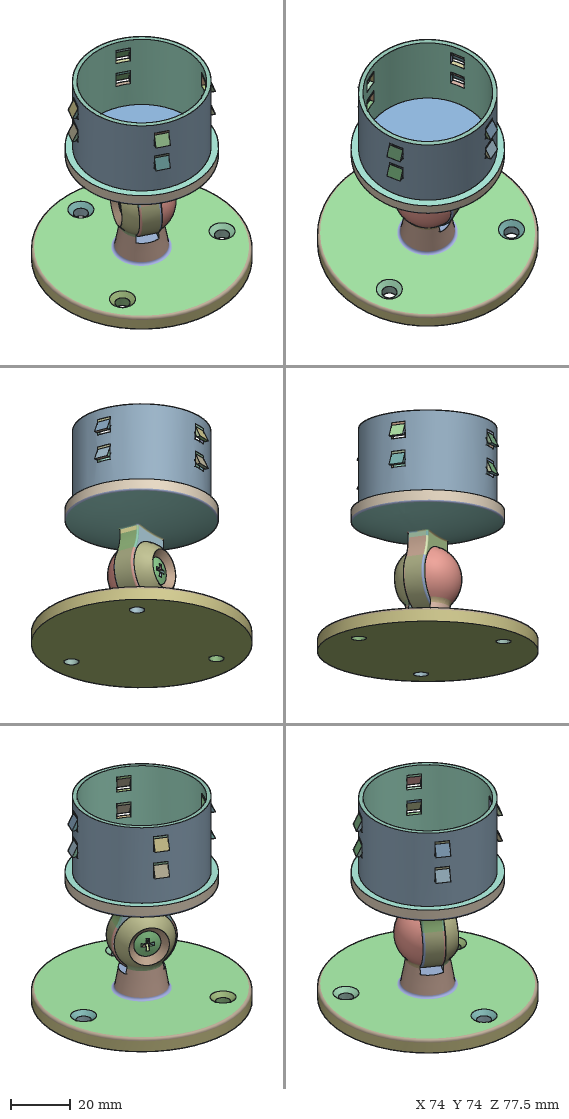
import cadquery as cq
import math

base_thickness = 4.95
pivot_z = 24.95
stem_top_z = 14.95
slot_floor_z = 13.0
dome_bottom_z = 39.3
flange_bottom_z = 44.95
flange_top_z = 49.0
cup_top_z = 77.5

base_diameter = 74.0
base_edge_radius = 1.0
mount_count = 3
mount_circle_radius = 28.05
mount_hole_diameter = 5.0
mount_sink_diameter = 8.7
mount_sink_angle = 100.0
mount_first_angle = 90.0

stem_top_radius = 7.5
stem_taper = 10.0
stem_foot_fillet = 1.0
stem_neck_fillet = 2.0
ball_radius = 11.5
seat_rim_y = -9.1
slot_width = 8.0

cup_outer_radius = 23.25
cup_inner_radius = 21.7
flange_radius = 25.7
flange_edge_fillet = 0.7

lug_radius = 11.5
lug_thickness = 7.6
lug_neck_half_width = 7.9
lug_side_radius = 13.95
lug_edge_fillet = 0.6
lug_root_fillet = 0.5
lug_embed = 2.3

tab_directions = 4
tab_width = 5.0
window_tops = (73.9, 63.9)
window_height = 5.6
hinge_height = 0.85
hinge_outer_x = 23.1
hinge_thickness = 1.4
tab_tip_x = 25.0
tab_end_gap = 0.6

screw_head_radius = 4.7
screw_head_dome = 0.9
shank_radius = 2.0
shank_end_y = 7.0
recess_half_length = 2.55
recess_arm_width = 1.2
recess_depth = 2.6

pick_margin = 0.1

seat_rim_radius = math.sqrt(ball_radius**2 - seat_rim_y**2)
head_rim_y = seat_rim_y + seat_rim_radius - screw_head_radius
head_bottom_y = head_rim_y + screw_head_radius - shank_radius


def cap_radius(rim_radius, depth):
    """Sphere radius of a cap with the given rim radius and depth."""
    return (rim_radius**2 + depth**2) / (2 * depth)


def cap_midpoint(rim_radius, sphere_radius):
    """Radius and rise above the apex, halfway along the arc from a cap's apex to its rim."""
    half_angle = math.asin(rim_radius / sphere_radius) / 2
    return sphere_radius * math.sin(half_angle), sphere_radius * (1 - math.cos(half_angle))


def level_zone(radius, low_z, high_z):
    """Selector for edges centered inside a square block around the Z axis."""
    reach = radius + pick_margin
    return cq.selectors.BoxSelector(
        (-reach, -reach, low_z - pick_margin), (reach, reach, high_z + pick_margin)
    )


def spin_about_pivot(profile):
    """Revolve a profile of (radius, y) points about the pivot axis along Y."""
    return profile.close().revolve(360, (0, 0, 0), (0, 1, 0)).translate((0, 0, pivot_z))


def make_base():
    disc = cq.Workplane("XY").circle(base_diameter / 2).extrude(base_thickness)
    disc = disc.faces(">Z").edges().fillet(base_edge_radius)

    taper = math.tan(math.radians(stem_taper))
    stem_foot_radius = stem_top_radius + (stem_top_z - base_thickness) * taper
    stem_head_radius = stem_top_radius - (pivot_z - stem_top_z) * taper
    stem = (
        cq.Workplane("XZ")
        .moveTo(0, base_thickness)
        .lineTo(stem_foot_radius, base_thickness)
        .lineTo(stem_head_radius, pivot_z)
        .lineTo(0, pivot_z)
        .close()
        .revolve(360, (0, 0, 0), (0, 1, 0))
    )
    ball = cq.Workplane("XY").sphere(ball_radius).translate((0, 0, pivot_z))
    neck_zone = level_zone(ball_radius, stem_top_z, pivot_z - ball_radius / 2)
    foot_zone = level_zone(stem_foot_radius, base_thickness, base_thickness)
    post = stem.union(ball).edges(neck_zone).fillet(stem_neck_fillet)
    base = disc.union(post).edges(foot_zone).fillet(stem_foot_fillet)

    base = base.cut(make_slot()).cut(make_screw_bore())
    top_face = cq.Workplane("XY", origin=(0, 0, base_thickness))
    return (
        base.copyWorkplane(top_face)
        .polarArray(mount_circle_radius, mount_first_angle, 360, mount_count)
        .cskHole(mount_hole_diameter, mount_sink_diameter, mount_sink_angle, base_thickness)
    )


def make_slot():
    """Cutter for the gap between the two ball cheeks, open past the ball on every free side."""
    length = 3 * ball_radius
    slot = cq.Workplane("XY", origin=(0, 0, slot_floor_z)).rect(length, slot_width)
    return slot.extrude(length)


def make_screw_bore():
    """Cutter for the shank bore and the conical seat, which takes off the ball's front cap."""
    mouth_radius = screw_head_radius + ball_radius
    return spin_about_pivot(
        cq.Workplane("XY")
        .moveTo(0, head_rim_y - ball_radius)
        .lineTo(mouth_radius, head_rim_y - ball_radius)
        .lineTo(shank_radius, head_bottom_y)
        .lineTo(shank_radius, shank_end_y)
        .lineTo(0, shank_end_y)
    )


def make_screw():
    dome_apex_y = head_rim_y - screw_head_dome
    dome_radius = cap_radius(screw_head_radius, screw_head_dome)
    dome_mid_r, dome_mid_rise = cap_midpoint(screw_head_radius, dome_radius)
    screw = spin_about_pivot(
        cq.Workplane("XY")
        .moveTo(0, dome_apex_y)
        .threePointArc((dome_mid_r, dome_apex_y + dome_mid_rise), (screw_head_radius, head_rim_y))
        .lineTo(shank_radius, head_bottom_y)
        .lineTo(shank_radius, shank_end_y)
        .lineTo(0, shank_end_y)
    )

    arms = (
        cq.Workplane("XY")
        .polyline(
            [
                (-recess_half_length, dome_apex_y),
                (recess_half_length, dome_apex_y),
                (0, dome_apex_y + recess_depth),
            ]
        )
        .close()
        .extrude(recess_arm_width / 2, both=True)
    )
    for angle in (0, 90):
        screw = screw.cut(arms.rotate((0, 0, 0), (0, 1, 0), angle).translate((0, 0, pivot_z)))
    return screw


def make_lug():
    flank_x = lug_neck_half_width + lug_side_radius
    center_distance = lug_radius + lug_side_radius
    flank_rise = math.sqrt(center_distance**2 - flank_x**2)
    flank_angle = math.asin(flank_rise / center_distance)
    flank_z = pivot_z + flank_rise
    touch_x = lug_radius * math.cos(flank_angle)
    touch_z = pivot_z + lug_radius * math.sin(flank_angle)
    mid_x = flank_x - lug_side_radius * math.cos(flank_angle / 2)
    mid_z = flank_z - lug_side_radius * math.sin(flank_angle / 2)
    top_z = dome_bottom_z + lug_embed
    lug = (
        cq.Workplane("XZ")
        .moveTo(-lug_neck_half_width, top_z)
        .lineTo(-lug_neck_half_width, flank_z)
        .threePointArc((-mid_x, mid_z), (-touch_x, touch_z))
        .threePointArc((0, pivot_z - lug_radius), (touch_x, touch_z))
        .threePointArc((mid_x, mid_z), (lug_neck_half_width, flank_z))
        .lineTo(lug_neck_half_width, top_z)
        .close()
        .extrude(lug_thickness / 2, both=True)
    )
    lug = lug.faces("<Y or >Y").edges("not >Z").fillet(lug_edge_fillet)
    bore = (
        cq.Workplane("XZ", origin=(0, 0, pivot_z))
        .circle(shank_radius)
        .extrude(lug_thickness, both=True)
    )
    return lug.cut(bore)


def place_on_wall(shape, angle, top_z):
    return shape.rotate((0, 0, 0), (0, 0, 1), angle).translate((0, 0, top_z))


def make_window():
    """Cutter for one opening through the wall, at +X, top at Z = 0."""
    depth = 2 * (cup_outer_radius - cup_inner_radius)
    wall_middle = (cup_outer_radius + cup_inner_radius) / 2
    window = cq.Workplane("XY").box(depth, tab_width, window_height)
    return window.translate((wall_middle, 0, -window_height / 2))


def make_tab():
    """Flap hanging from the window's top edge and leaning outward, at +X, window top at Z = 0."""
    tip_z = tab_end_gap - window_height
    hinge_inner_x = hinge_outer_x - hinge_thickness
    return (
        cq.Workplane("XZ")
        .polyline(
            [
                (hinge_outer_x, 0),
                (hinge_outer_x, -hinge_height),
                (tab_tip_x, tip_z),
                (tab_tip_x - hinge_thickness, tip_z),
                (hinge_inner_x, -hinge_height),
                (hinge_inner_x, 0),
            ]
        )
        .close()
        .extrude(tab_width / 2, both=True)
    )


def make_cup():
    dome_depth = flange_bottom_z - dome_bottom_z
    dome_radius = cap_radius(flange_radius, dome_depth)
    dome_mid_r, dome_mid_rise = cap_midpoint(flange_radius, dome_radius)
    cup = (
        cq.Workplane("XZ")
        .moveTo(0, dome_bottom_z)
        .threePointArc((dome_mid_r, dome_bottom_z + dome_mid_rise), (flange_radius, flange_bottom_z))
        .lineTo(flange_radius, flange_top_z)
        .lineTo(0, flange_top_z)
        .close()
        .revolve(360, (0, 0, 0), (0, 1, 0))
    )
    rim_zone = level_zone(flange_radius, flange_bottom_z, flange_bottom_z)
    cup = cup.edges(rim_zone).fillet(flange_edge_fillet)
    wall = (
        cq.Workplane("XY")
        .workplane(offset=flange_top_z)
        .circle(cup_outer_radius)
        .circle(cup_inner_radius)
        .extrude(cup_top_z - flange_top_z)
    )
    cup = cup.union(wall).union(make_lug())
    root_rise = lug_neck_half_width**2 / dome_radius
    root_zone = level_zone(lug_radius, dome_bottom_z, dome_bottom_z + root_rise)
    cup = cup.edges(root_zone).fillet(lug_root_fillet)

    window = make_window()
    tab = make_tab()
    for window_top in window_tops:
        for index in range(tab_directions):
            angle = index * 360 / tab_directions
            cup = cup.cut(place_on_wall(window, angle, window_top))
            cup = cup.union(place_on_wall(tab, angle, window_top))
    return cup


base = make_base()
cup = make_cup()
screw = make_screw()

bodies = (base, cup, screw)
result = cq.Compound.makeCompound([body.solids().val() for body in bodies])